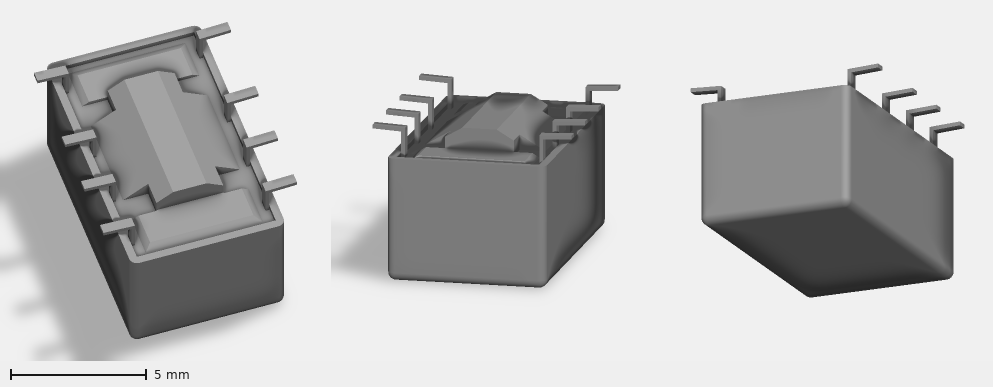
import cadquery as cq

case_length = 10.0
case_width = 6.0
case_height = 4.65
edge_radius = 0.3
rim_thickness = 0.3
recess_depth = 0.2
floor_z = case_height - recess_depth

ridge_length = 5.61
ridge_base_width = 4.56
ridge_top_width = 1.3
ridge_rise = 0.76
ridge_height = recess_depth + ridge_rise
ridge_side_run = (ridge_base_width - ridge_top_width) / 2

platform_length = 8.94
platform_width = ridge_base_width
platform_end_slope = 0.3
platform_side_slope = 0.27
platform_height = platform_side_slope * ridge_height / ridge_side_run

notch_inner_x = 1.85
notch_outer_x = 2.84
notch_inner_y = 1.3

pin_positions = (-3.8, -0.61, 1.61, 3.8)
pin_width = 0.4
pin_thickness = 0.14
pin_inner_y = 2.54
pin_tip_y = 3.76
pin_rise = 1.0
pin_tip_z = case_height + pin_rise
foot_thickness = 0.15
foot_rise = 0.06


def make_case():
    body = cq.Workplane("XY").box(case_length, case_width, case_height, centered=(True, True, False))
    body = body.edges("|Z").fillet(edge_radius)
    body = body.faces("<Z").edges().fillet(edge_radius)
    recess = (
        cq.Workplane("XY", origin=(0, 0, floor_z))
        .rect(case_length - 2 * rim_thickness, case_width - 2 * rim_thickness)
        .extrude(recess_depth)
    )
    return body.cut(recess)


def make_platform():
    return (
        cq.Workplane("XY", origin=(0, 0, floor_z))
        .rect(platform_length, platform_width)
        .workplane(offset=platform_height)
        .rect(platform_length - 2 * platform_end_slope, platform_width - 2 * platform_side_slope)
        .loft(ruled=True)
    )


def make_ridge():
    return (
        cq.Workplane("YZ", origin=(0, 0, floor_z))
        .moveTo(-ridge_base_width / 2, 0)
        .lineTo(ridge_base_width / 2, 0)
        .lineTo(ridge_top_width / 2, ridge_height)
        .lineTo(-ridge_top_width / 2, ridge_height)
        .close()
        .extrude(ridge_length / 2, both=True)
    )


def make_notches():
    notch_length = notch_outer_x - notch_inner_x
    notch_width = ridge_base_width / 2 - notch_inner_y
    center_x = (notch_inner_x + notch_outer_x) / 2
    center_y = notch_inner_y + notch_width / 2
    return (
        cq.Workplane("XY", origin=(0, 0, floor_z))
        .rect(2 * center_x, 2 * center_y, forConstruction=True)
        .vertices()
        .rect(notch_length, notch_width)
        .extrude(ridge_height)
    )


def make_pin(center_x):
    """Upright leg on the recess floor with a foot rising slightly outward over the rim."""
    leg_outer_y = pin_inner_y + pin_thickness
    bend_top_z = pin_tip_z - foot_rise
    return (
        cq.Workplane("YZ", origin=(center_x, 0, 0))
        .moveTo(pin_inner_y, floor_z)
        .lineTo(leg_outer_y, floor_z)
        .lineTo(leg_outer_y, bend_top_z - foot_thickness)
        .lineTo(pin_tip_y, pin_tip_z - foot_thickness)
        .lineTo(pin_tip_y, pin_tip_z)
        .lineTo(pin_inner_y, bend_top_z)
        .close()
        .extrude(pin_width / 2, both=True)
    )


top_block = make_platform().union(make_ridge()).cut(make_notches())
result = make_case().union(top_block)
for pin_x in pin_positions:
    pin = make_pin(pin_x)
    result = result.union(pin).union(pin.mirror("XZ"))